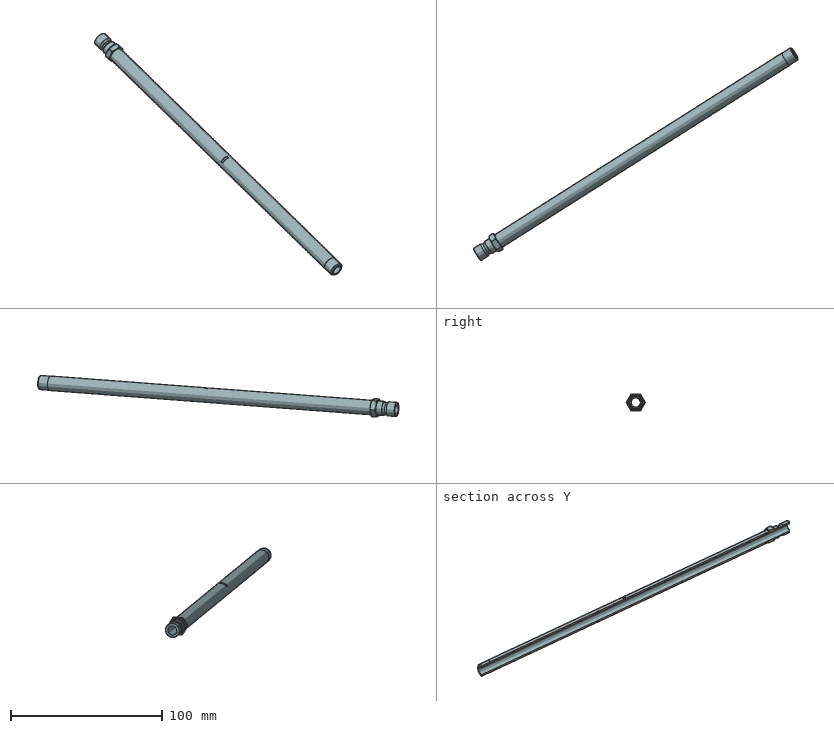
import cadquery as cq
import math

LENGTH = 250.0
TUBE_RADIUS = 4.88
BORE_RADIUS = 3.0

SPIGOT_RADIUS = 4.8
GROOVE_START = 5.5
GROOVE_FLOOR_START = 7.0
GROOVE_END = 8.8
GROOVE_RADIUS = 4.0
GROOVE_SHOULDER_RADIUS = 4.2

HEX_ACROSS_FLATS = 11.0
HEX_START = 12.8
HEX_WIDTH = 4.0
HEX_FACE_RADIUS = 5.5
HEX_BEVEL_ANGLE = 30.0

TIP_RADIUS = 4.8
TIP_LENGTH = 7.2
TIP_CHAMFER = 0.8

NOTCH_X = 133.2
NOTCH_WIDTH = 1.5
NOTCH_DEPTH = 0.2
NOTCH_START_ANGLE = -12.0
NOTCH_END_ANGLE = 53.0


def turned(profile):
    """Solid of revolution about the X axis from (x, radius) points."""
    return cq.Workplane("XZ").polyline(profile).close().revolve(360, (0, 0, 0), (1, 0, 0))


def make_body():
    tip_start = LENGTH - TIP_LENGTH
    return turned([
        (0, 0),
        (0, SPIGOT_RADIUS),
        (GROOVE_START, SPIGOT_RADIUS),
        (GROOVE_FLOOR_START, GROOVE_RADIUS),
        (GROOVE_END, GROOVE_SHOULDER_RADIUS),
        (GROOVE_END, SPIGOT_RADIUS),
        (HEX_START, SPIGOT_RADIUS),
        (HEX_START, TUBE_RADIUS),
        (tip_start, TUBE_RADIUS),
        (tip_start, TIP_RADIUS),
        (LENGTH - TIP_CHAMFER, TIP_RADIUS),
        (LENGTH, TIP_RADIUS - TIP_CHAMFER),
        (LENGTH, 0),
    ])


def make_hex_collar():
    """Hexagon with corners on the Y axis, its corners bevelled on both faces."""
    across_corners = HEX_ACROSS_FLATS / math.cos(math.pi / 6)
    hexagon = (
        cq.Workplane("YZ")
        .workplane(offset=HEX_START)
        .polygon(6, across_corners)
        .extrude(HEX_WIDTH)
    )
    hex_end = HEX_START + HEX_WIDTH
    corner_radius = across_corners / 2
    bevel = (corner_radius - HEX_FACE_RADIUS) * math.tan(math.radians(HEX_BEVEL_ANGLE))
    envelope = turned([
        (HEX_START, 0),
        (HEX_START, HEX_FACE_RADIUS),
        (HEX_START + bevel, corner_radius),
        (hex_end - bevel, corner_radius),
        (hex_end, HEX_FACE_RADIUS),
        (hex_end, 0),
    ])
    return hexagon.intersect(envelope)


def make_bore():
    return cq.Workplane("YZ").circle(BORE_RADIUS).extrude(LENGTH)


def make_notch():
    """Square-edged ring segment, cut to an even depth below the tube surface."""
    segment = (
        cq.Workplane("XZ")
        .center(NOTCH_X, TUBE_RADIUS)
        .rect(NOTCH_WIDTH, 2 * NOTCH_DEPTH)
        .revolve(NOTCH_END_ANGLE - NOTCH_START_ANGLE, (0, -TUBE_RADIUS, 0), (1, -TUBE_RADIUS, 0))
    )
    return segment.rotate((0, 0, 0), (1, 0, 0), NOTCH_START_ANGLE)


result = make_body().union(make_hex_collar()).cut(make_bore()).cut(make_notch())